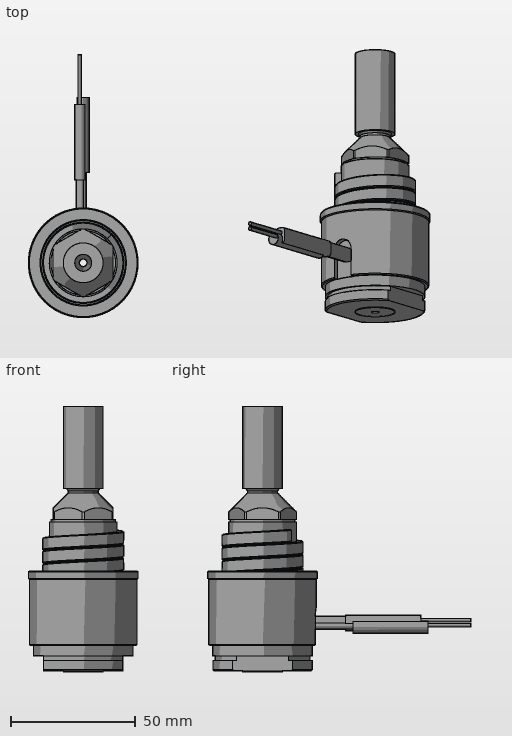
import cadquery as cq
import math

total_height = 106.3
shank_radius = 8.0
shank_bottom = 73.3
neck_radius = 6.1
neck_shoulder_radius = 6.7
neck_top = 72.5
neck_bottom = 71.6
hex_across_flats = 24.0
hex_bottom = 60.9
undercut_radius = 13.0
undercut_bottom = 60.1

sleeve_radius = 13.6
hex_corner_radius = sleeve_radius
flange_radius = 22.0
flange_top = 40.4
flange_bottom = 37.0
body_radius = 21.6
body_bottom = 10.5
edge_chamfer = 0.4

collar_radius = 20.0
collar_bottom = 6.4
foot_neck_radius = 19.0
foot_rim_top = 4.6
foot_rim_bottom = 0.3
foot_chamfer_height = 0.5
foot_half_flats = 15.9

bore_top_radius = 3.4
bore_bottom_radius = 1.5

coil_outer_radius = 16.3
coil_inner_radius = 13.3
coil_pitch = 5.3
wire_height = 5.0
wire_chamfer = 0.37
coil_turns = 4.0
coil_end_angle = 45.0
coil_top = 57.0
coil_bottom = coil_top - wire_height - coil_turns * coil_pitch
recess_radius = 16.9
recess_floor = coil_bottom + wire_height

slot_width = 8.5
slot_arch_center = 21.8
slot_floor = 19.1
cable_root = slot_floor - 1.1

flat_x = -1.4
flat_z = 19.7
flat_width = 2.9
flat_height = 5.3
flat_fillet = 0.6
flat_sleeve_z = 19.6
flat_sleeve_width = 4.0
flat_sleeve_height = 6.3
flat_sleeve_fillet = 1.2
flat_sleeve_end = 63.5
sleeve_length = 30.2

round_cable_radius = 1.3
round_cable_z = 18.3
round_sleeve_radius = 2.4
round_sleeve_z = 17.9
round_sleeve_end = 66.3

bare_radius = 0.7
bare_x = flat_x
bare_end = 83.4
upper_bare_z = 20.6
lower_bare_z = 18.6


def cylinder(radius, bottom, top):
    return cq.Workplane("XY").workplane(offset=bottom).circle(radius).extrude(top - bottom)


def body_along_y(section, start, end):
    """Extrude a section drawn on the XZ plane from y = start to y = end."""
    return section.extrude(start - end).translate((0, start, 0))


def make_spindle():
    """Shank, neck and sleeve; the hexagon bridges the space between neck and undercut."""
    shank = cylinder(shank_radius, shank_bottom, total_height)
    neck = (
        cq.Workplane("XZ")
        .moveTo(0, neck_bottom)
        .lineTo(neck_radius, neck_bottom)
        .lineTo(neck_radius, neck_top)
        .lineTo(neck_shoulder_radius, shank_bottom)
        .lineTo(0, shank_bottom)
        .close()
        .revolve(360, (0, 0, 0), (0, 1, 0))
    )
    undercut = cylinder(undercut_radius, undercut_bottom, hex_bottom)
    sleeve = cylinder(sleeve_radius, body_bottom, undercut_bottom)
    return shank.union(neck).union(make_hexagon()).union(undercut).union(sleeve)


def make_hexagon():
    """Hexagon with flats facing X, turned to a 45 degree cone at the top."""
    cone_bottom = neck_bottom - (hex_corner_radius - neck_radius)
    turned = (
        cq.Workplane("XZ")
        .moveTo(0, hex_bottom)
        .lineTo(hex_corner_radius, hex_bottom)
        .lineTo(hex_corner_radius, cone_bottom)
        .lineTo(neck_radius, neck_bottom)
        .lineTo(0, neck_bottom)
        .close()
        .revolve(360, (0, 0, 0), (0, 1, 0))
    )
    across_corners = hex_across_flats / math.cos(math.radians(30))
    prism = (
        cq.Workplane("XY")
        .workplane(offset=hex_bottom)
        .polygon(6, across_corners)
        .extrude(neck_bottom - hex_bottom)
        .rotate((0, 0, 0), (0, 0, 1), 30)
    )
    return turned.intersect(prism)


def make_housing():
    """Flange and body, with the coil recess sunk into the flange."""
    flange = cylinder(flange_radius, flange_bottom, flange_top).edges().chamfer(edge_chamfer)
    body = cylinder(body_radius, body_bottom, flange_bottom + edge_chamfer)
    body = body.faces("<Z").edges().chamfer(edge_chamfer)
    recess = cylinder(recess_radius, recess_floor, flange_top)
    housing = flange.union(body).cut(recess)
    mouth = cq.Workplane("XY").add(
        cq.Solid.makeCone(
            recess_radius,
            recess_radius + edge_chamfer,
            edge_chamfer,
            cq.Vector(0, 0, flange_top - edge_chamfer),
        )
    )
    return housing.cut(mouth)


def make_slot():
    """Arched slot on the +Y side, open at the bottom edge of the body."""
    half_width = slot_width / 2
    section = (
        cq.Workplane("XZ")
        .moveTo(-half_width, body_bottom)
        .lineTo(-half_width, slot_arch_center)
        .threePointArc((0, slot_arch_center + half_width), (half_width, slot_arch_center))
        .lineTo(half_width, body_bottom)
        .close()
    )
    return body_along_y(section, slot_floor, flange_radius)


def make_foot():
    """Collar, and below it a grooved foot with a flat on each X side and a small end boss."""
    collar = cylinder(collar_radius, collar_bottom, body_bottom)
    groove = cylinder(foot_neck_radius, foot_rim_top, collar_bottom)
    rim = cylinder(collar_radius, foot_rim_bottom, foot_rim_top)
    rim = rim.faces("<Z").edges().chamfer(foot_chamfer_height)
    flats = cq.Workplane("XY").box(
        2 * foot_half_flats, 2 * collar_radius, collar_bottom, centered=(True, True, False)
    )
    foot = groove.union(rim).intersect(flats)
    boss = cylinder(shank_radius, 0, foot_rim_bottom)
    return collar.union(foot).union(boss)


def make_coil():
    """Right-handed coil of flat wire with its outer corners broken."""
    middle_radius = (coil_inner_radius + coil_outer_radius) / 2
    path = cq.Wire.makeHelix(coil_pitch, coil_turns * coil_pitch, middle_radius)
    half_height = wire_height / 2
    chamfer_radius = coil_outer_radius - wire_chamfer
    chamfer_z = half_height - wire_chamfer
    coil = (
        cq.Workplane("XZ")
        .moveTo(coil_inner_radius, -half_height)
        .lineTo(chamfer_radius, -half_height)
        .lineTo(coil_outer_radius, -chamfer_z)
        .lineTo(coil_outer_radius, chamfer_z)
        .lineTo(chamfer_radius, half_height)
        .lineTo(coil_inner_radius, half_height)
        .close()
        .sweep(cq.Workplane("XY").add(path), isFrenet=True)
    )
    start_angle = coil_end_angle - 360 * coil_turns
    return coil.rotate((0, 0, 0), (0, 0, 1), start_angle).translate((0, 0, coil_bottom + half_height))


def make_bore():
    """Through bore tapering evenly from the top end to the bottom end."""
    return cq.Workplane("XY").add(cq.Solid.makeCone(bore_bottom_radius, bore_top_radius, total_height))


def flat_rod(x, z, width, height, fillet, start, end):
    section = cq.Workplane("XZ").center(x, z).rect(width, height)
    return body_along_y(section, start, end).edges("|Y").fillet(fillet)


def round_rod(x, z, radius, start, end):
    return body_along_y(cq.Workplane("XZ").center(x, z).circle(radius), start, end)


def make_cables():
    flat_start = flat_sleeve_end - sleeve_length
    round_start = round_sleeve_end - sleeve_length
    cables = flat_rod(flat_x, flat_z, flat_width, flat_height, flat_fillet, cable_root, flat_sleeve_end)
    flat_sleeve = flat_rod(
        flat_x,
        flat_sleeve_z,
        flat_sleeve_width,
        flat_sleeve_height,
        flat_sleeve_fillet,
        flat_start,
        flat_sleeve_end,
    )
    cables = cables.union(flat_sleeve)
    cables = cables.union(round_rod(0, round_cable_z, round_cable_radius, cable_root, round_sleeve_end))
    cables = cables.union(round_rod(0, round_sleeve_z, round_sleeve_radius, round_start, round_sleeve_end))
    cables = cables.union(round_rod(bare_x, upper_bare_z, bare_radius, flat_start, bare_end))
    return cables.union(round_rod(bare_x, lower_bare_z, bare_radius, flat_start, bare_end))


result = (
    make_housing()
    .cut(make_slot())
    .union(make_spindle())
    .union(make_foot())
    .union(make_coil())
    .union(make_cables())
    .cut(make_bore())
)